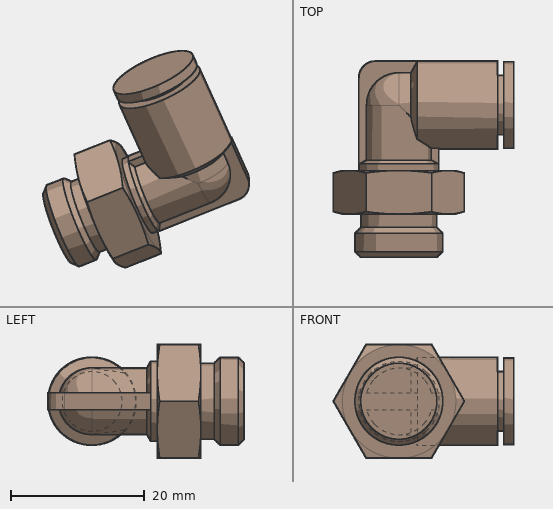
import cadquery as cq
import math


elbow_dia = 10.0

socket_dia = 13.2
shoulder_start = 1.8
shoulder_angle = 30.0
socket_end = 14.8
release_neck_dia = 8.95
release_neck_length = 0.9
release_ring_dia = 13.0
release_ring_length = 1.5

socket_axis_to_hex = 9.8
collar_dia = 12.0
collar_length = 1.0
collar_angle = 30.0
hex_sides = 6
hex_across_flats = 17.0
hex_length = 6.5
hex_chamfer_angle = 15.0
thread_dia = 13.16
thread_relief_dia = 11.4
thread_relief_length = 2.0
thread_end_length = 6.5

web_thickness = 2.5
web_width = collar_dia
web_corner_radius = 2.5

shoulder_end = shoulder_start + (socket_dia - elbow_dia) / 2 * math.tan(math.radians(shoulder_angle))
ring_start = socket_end + release_neck_length
ring_end = ring_start + release_ring_length
hex_top = -socket_axis_to_hex
thread_top = hex_top - hex_length
thread_bottom = thread_top - thread_end_length
collar_top = hex_top + collar_length
collar_cone_top = collar_top + (collar_dia - elbow_dia) / 2 * math.tan(math.radians(collar_angle))


def turned(stations, direction):
    """Revolve (position, diameter) stations about the X or Y axis."""
    first = stations[0][0]
    last = stations[-1][0]
    outline = [(first, 0)] + [(place, dia / 2) for place, dia in stations] + [(last, 0)]
    if direction == "X":
        return cq.Workplane("XY").polyline(outline).close().revolve(360, (0, 0), (1, 0))
    swapped = [(radius, place) for place, radius in outline]
    return cq.Workplane("XY").polyline(swapped).close().revolve(360, (0, 0), (0, 1))


def make_socket():
    """Socket with its conical shoulder, and the release ring on a thinner neck."""
    return turned(
        [
            (0, elbow_dia),
            (shoulder_start, elbow_dia),
            (shoulder_end, socket_dia),
            (socket_end, socket_dia),
            (socket_end, release_neck_dia),
            (ring_start, release_neck_dia),
            (ring_start, release_ring_dia),
            (ring_end, release_ring_dia),
        ],
        "X",
    )


def make_stem():
    """Stem from the elbow to the hexagon, widening through a cone to the collar."""
    return turned(
        [
            (0, elbow_dia),
            (collar_cone_top, elbow_dia),
            (collar_top, collar_dia),
            (hex_top, collar_dia),
        ],
        "Y",
    )


def make_threaded_end():
    """Relief groove and plain thread cylinder with 45 degree chamfers."""
    chamfer = (thread_dia - thread_relief_dia) / 2
    relief_bottom = thread_top - thread_relief_length
    return turned(
        [
            (thread_top, thread_relief_dia),
            (relief_bottom, thread_relief_dia),
            (relief_bottom - chamfer, thread_dia),
            (thread_bottom + chamfer, thread_dia),
            (thread_bottom, thread_relief_dia),
        ],
        "Y",
    )


def make_hexagon():
    """Hexagon with corners along X and cone-chamfered at both ends."""
    across_corners = hex_across_flats / math.cos(math.pi / hex_sides)
    drop = (across_corners - hex_across_flats) / 2 * math.tan(math.radians(hex_chamfer_angle))
    prism = (
        cq.Workplane("XZ", origin=(0, hex_top, 0))
        .polygon(hex_sides, across_corners)
        .extrude(hex_length)
    )
    chamfered_blank = turned(
        [
            (hex_top, hex_across_flats),
            (hex_top - drop, across_corners),
            (thread_top + drop, across_corners),
            (thread_top, hex_across_flats),
        ],
        "Y",
    )
    return prism.intersect(chamfered_blank)


def make_web():
    """Web outside the elbow; its inner edges end at or inside the socket."""
    half_width = web_width / 2
    web_top = socket_dia / 2
    return (
        cq.Workplane("XY", origin=(0, 0, -web_thickness / 2))
        .moveTo(-half_width, collar_top)
        .lineTo(-half_width, web_top - web_corner_radius)
        .radiusArc((-half_width + web_corner_radius, web_top), web_corner_radius)
        .lineTo(shoulder_end, web_top)
        .lineTo(shoulder_end, 0)
        .lineTo(half_width, 0)
        .lineTo(half_width, collar_top)
        .close()
        .extrude(web_thickness)
    )


elbow_ball = cq.Workplane("XY").sphere(elbow_dia / 2)
result = (
    make_stem()
    .union(elbow_ball)
    .union(make_socket())
    .union(make_web())
    .union(make_hexagon())
    .union(make_threaded_end())
)